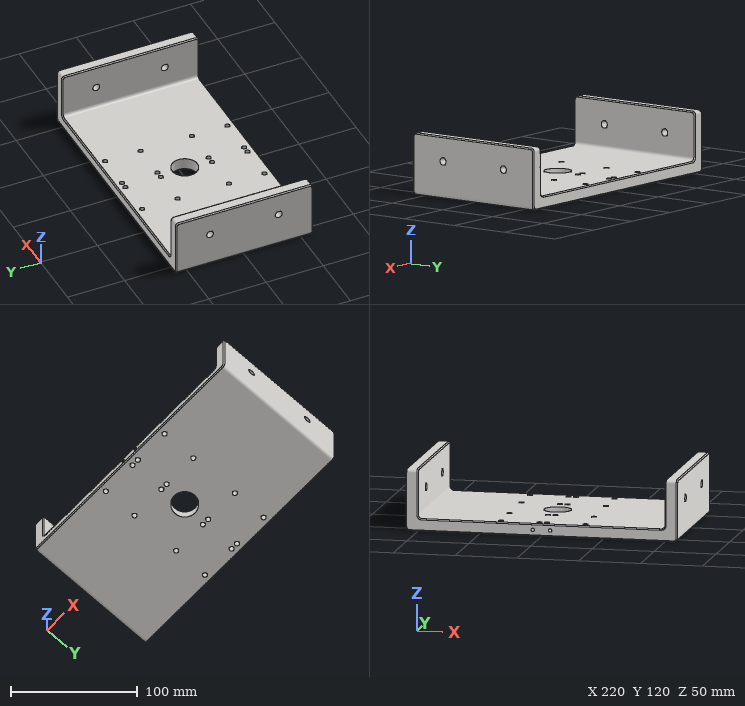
import cadquery as cq

length = 220.0
width = 120.0
height = 50.0
thickness = 10.1
corner_radius = 3.0
edge_chamfer = 1.0

center_bore_diameter = 22.0
mount_hole_diameter = 4.0
mount_square = 31.0
mount_inner_x = 3.0
mount_inner_y = 22.5

wall_hole_diameter = 6.0
wall_hole_spacing = 60.0
wall_hole_height = 30.0

edge_hole_diameter = 2.6
edge_hole_spacing = 14.0
edge_hole_depth = 10.0


def make_channel():
    """U-shaped channel with rounded bends, rounded wall corners and broken edges."""
    block = cq.Workplane("XY").box(length, width, height, centered=(True, True, False))
    block = block.edges("|Y and <Z").fillet(corner_radius)
    cavity = (
        cq.Workplane("XY")
        .workplane(offset=thickness)
        .box(length - 2 * thickness, width, height, centered=(True, True, False))
        .edges("|Y and <Z")
        .fillet(corner_radius)
    )
    channel = block.cut(cavity)
    channel = channel.faces(">Z").edges("|X").fillet(corner_radius)
    return channel.faces(">Z").edges("|Y").chamfer(edge_chamfer)


def drill_floor(body):
    """Central bore and four square patterns of mounting holes."""
    columns = (mount_inner_x, mount_inner_x + mount_square)
    rows = (mount_inner_y, mount_inner_y + mount_square)
    points = [
        (side_x * x, side_y * y)
        for side_x in (-1, 1)
        for side_y in (-1, 1)
        for x in columns
        for y in rows
    ]
    bore = cq.Workplane("XY").circle(center_bore_diameter / 2).extrude(thickness)
    mounts = cq.Workplane("XY").pushPoints(points).circle(mount_hole_diameter / 2).extrude(thickness)
    return body.cut(bore).cut(mounts)


def drill_walls(body):
    """Two holes along X, passing through both walls."""
    points = [(side * wall_hole_spacing / 2, wall_hole_height) for side in (-1, 1)]
    holes = cq.Workplane("YZ").pushPoints(points).circle(wall_hole_diameter / 2).extrude(length / 2, both=True)
    return body.cut(holes)


def drill_front_edge(body):
    """Two blind holes at mid-thickness of the floor, entering from the front."""
    points = [(side * edge_hole_spacing / 2, thickness / 2) for side in (-1, 1)]
    holes = (
        cq.Workplane("XZ", origin=(0, -width / 2, 0))
        .pushPoints(points)
        .circle(edge_hole_diameter / 2)
        .extrude(-edge_hole_depth)
    )
    return body.cut(holes)


result = drill_front_edge(drill_walls(drill_floor(make_channel())))